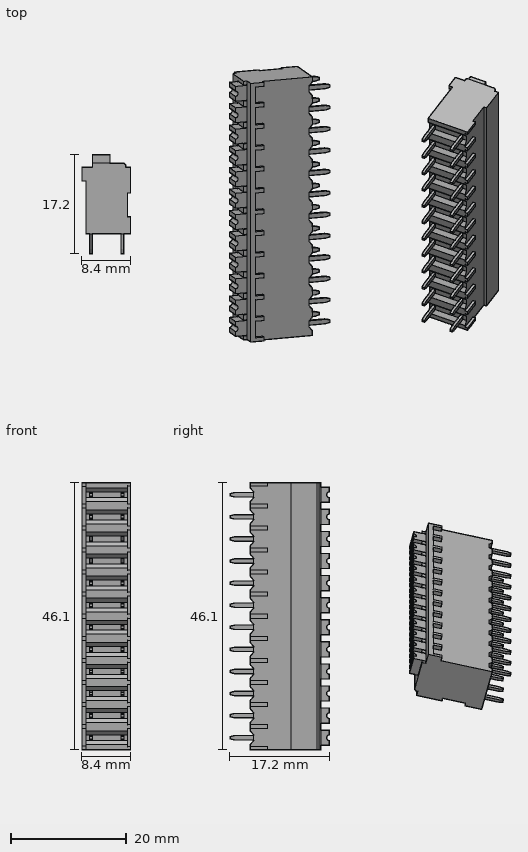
import cadquery as cq


pole_count = 12
pitch = 3.81
total_width = 8.4
total_depth = 17.15
total_height = 46.11
end_margin = (total_height - pole_count * pitch) / 2
pole_heights = [end_margin + pitch * (i + 0.5) for i in range(pole_count)]

pin_face_y = 3.45
shoulder_y = 15.0
raised_y = 15.65
left_wall_x = 0.7
right_wall_x = 7.88
raised_left_x = 1.82
raised_right_x = 7.6
raised_chamfer = 0.3
left_flange_y = 12.55
foot_top_y = 6.45
right_flange_y = 10.5

tab_height = 0.7
window_height = pitch - tab_height
flange_window_top_y = 14.1

groove_depth = 0.6
groove_mouth = 2.4
groove_floor = 1.0

lever_width = 3.05
lever_height = 2.65
lever_clearance = 0.1
notch_radius = 0.47

pin_thickness = 0.5
pin_height = 0.8
pin_tip_height = 0.4
pin_taper = 0.8
pin_embed = 1.0
pin_left_edges = [1.32, 6.74]


def make_body():
    """Constant XY section extruded over the full row of poles."""
    outline = [
        (left_wall_x, pin_face_y),
        (total_width, pin_face_y),
        (total_width, foot_top_y),
        (right_wall_x, foot_top_y),
        (right_wall_x, right_flange_y),
        (total_width, right_flange_y),
        (total_width, shoulder_y),
        (raised_right_x, shoulder_y),
        (raised_right_x, raised_y - raised_chamfer),
        (raised_right_x - raised_chamfer, raised_y),
        (raised_left_x, raised_y),
        (raised_left_x, shoulder_y),
        (0, shoulder_y),
        (0, left_flange_y),
        (left_wall_x, left_flange_y),
    ]
    return cq.Workplane("XY").polyline(outline).close().extrude(total_height)


def box_between(x_range, y_range, z_center, height):
    """Box spanning two X and two Y limits, centred on a height."""
    return (
        cq.Workplane("XY", origin=(x_range[0], y_range[0], z_center - height / 2))
        .rect(x_range[1] - x_range[0], y_range[1] - y_range[0], centered=False)
        .extrude(height)
    )


def extrude_yz(points, x_start, x_end):
    """Closed YZ polygon extruded from one X position to another."""
    plane = cq.Workplane("YZ", origin=(x_start, 0, 0))
    return plane.polyline(points).close().extrude(x_end - x_start)


def make_flange_window(z):
    """Window between two tabs; a full tab is kept at each end of the row."""
    bottom = max(z - window_height / 2, tab_height)
    top = min(z + window_height / 2, total_height - tab_height)
    y_range = (left_flange_y, flange_window_top_y)
    return box_between((0, left_wall_x), y_range, (bottom + top) / 2, top - bottom)


def make_foot_gap(z):
    return box_between((right_wall_x, total_width), (pin_face_y, foot_top_y), z, window_height)


def make_groove(z):
    floor_y = pin_face_y + groove_depth
    points = [
        (pin_face_y, z - groove_mouth / 2),
        (floor_y, z - groove_floor / 2),
        (floor_y, z + groove_floor / 2),
        (pin_face_y, z + groove_mouth / 2),
    ]
    return extrude_yz(points, left_wall_x, right_wall_x)


def make_lever_pocket(z):
    """Shallow pocket in the raised face, open towards -X."""
    x_range = (raised_left_x, raised_left_x + lever_width)
    return box_between(x_range, (shoulder_y, raised_y), z, lever_height + 2 * lever_clearance)


def make_lever(z):
    """Rectangular push lever with a half-round notch across its end."""
    x_range = (raised_left_x, raised_left_x + lever_width)
    lever = box_between(x_range, (shoulder_y, total_depth), z, lever_height)
    notch = (
        cq.Workplane("YZ", origin=(raised_left_x, total_depth, z))
        .circle(notch_radius)
        .extrude(lever_width)
    )
    return lever.cut(notch)


def make_pin(x, z):
    """Flat pin along Y whose tip tapers in height."""
    root_y = pin_face_y + groove_depth + pin_embed
    points = [
        (root_y, z - pin_height / 2),
        (pin_taper, z - pin_height / 2),
        (0, z - pin_tip_height / 2),
        (0, z + pin_tip_height / 2),
        (pin_taper, z + pin_height / 2),
        (root_y, z + pin_height / 2),
    ]
    return extrude_yz(points, x, x + pin_thickness)


result = make_body()
for pole_z in pole_heights:
    result = result.cut(make_flange_window(pole_z))
    result = result.cut(make_foot_gap(pole_z))
    result = result.cut(make_groove(pole_z))
    result = result.cut(make_lever_pocket(pole_z))
    result = result.union(make_lever(pole_z))
    for pin_x in pin_left_edges:
        result = result.union(make_pin(pin_x, pole_z))